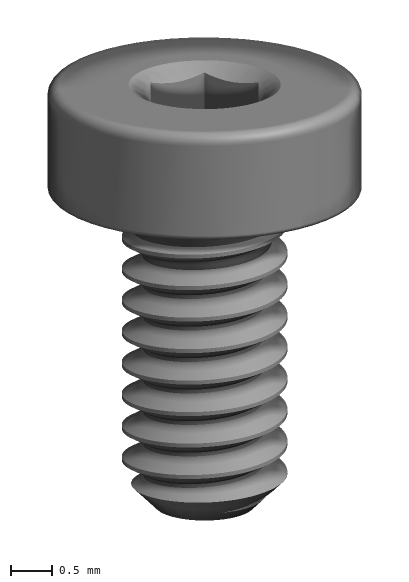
import cadquery as cq
import math

total_length = 5.35
head_radius = 1.9
head_height = 1.35
head_top_fillet = 0.14
head_bottom_fillet = 0.06

socket_across_flats = 1.3
socket_depth = 0.67
countersink_radius = 0.92
countersink_half_angle = 60.0

neck_radius = 1.05
neck_length = 0.855
tip_radius = 0.605

thread_radius = 1.0
thread_pitch = 0.4
thread_depth = 0.26
crest_width = thread_pitch / 8
flank_angle = 30.0
crest_height = 3.535
run_into_head = 0.215

shank_length = total_length - head_height
root_radius = thread_radius - thread_depth


def make_head():
    head = cq.Workplane("XY").workplane(offset=shank_length).circle(head_radius).extrude(head_height)
    head = head.faces(">Z").edges().fillet(head_top_fillet)
    return head.faces("<Z").edges().fillet(head_bottom_fillet)


def revolve_outline(points):
    """Revolve a closed outline of (radius, height) points about the Z axis."""
    return cq.Workplane("XZ").polyline(points).close().revolve(360, (0, 0, 0), (0, 1, 0))


def make_neck():
    """Cone flaring from the thread root to the underside of the head."""
    neck_start = shank_length - neck_length
    outline = [(0, neck_start), (root_radius, neck_start), (neck_radius, shank_length), (0, shank_length)]
    return revolve_outline(outline)


def helix_edge(radius, height):
    """One turn of the thread helix, starting on the +X side at the given height."""
    return cq.Wire.makeHelix(thread_pitch, thread_pitch, radius).translate(cq.Vector(0, 0, height)).Edges()[0]


def make_threaded_rod(start_height, turns):
    """Solid rod with helicoidal ends whose crests are centred on start_height plus whole pitches."""
    crest_half = crest_width / 2
    base_half = crest_half + thread_depth * math.tan(math.radians(flank_angle))
    profile = [
        (root_radius, -base_half),
        (thread_radius, -crest_half),
        (thread_radius, crest_half),
        (root_radius, base_half),
    ]

    faces = []
    for turn in range(turns):
        turn_height = start_height + turn * thread_pitch
        corners = [(radius, turn_height + offset) for radius, offset in profile]
        next_root = (root_radius, turn_height + thread_pitch - base_half)
        for lower, upper in zip(corners, corners[1:] + [next_root]):
            faces.append(cq.Face.makeRuledSurface(helix_edge(*lower), helix_edge(*upper)))

    bottom = start_height - base_half
    top = bottom + turns * thread_pitch
    for height in (bottom, top):
        axis = cq.Edge.makeLine(cq.Vector(0, 0, height), cq.Vector(0, 0, height + thread_pitch))
        faces.append(cq.Face.makeRuledSurface(axis, helix_edge(root_radius, height)))

    first_turn = [(radius, start_height + offset) for radius, offset in profile]
    first_turn.append((root_radius, bottom + thread_pitch))
    last_turn = [(radius, height + turns * thread_pitch) for radius, height in first_turn]
    for step in (first_turn, last_turn):
        step_outline = [(0, step[0][1])] + step + [(0, step[-1][1])]
        corners = [cq.Vector(radius, 0, height) for radius, height in step_outline]
        faces.append(cq.Face.makeFromWires(cq.Wire.makePolygon(corners, close=True)))
    return cq.Workplane(cq.Solid.makeSolid(cq.Shell.makeShell(faces)))


def make_shank():
    """Threaded rod with a 45 degree tip, reaching a little way into the head."""
    turns_below = math.ceil(crest_height / thread_pitch) + 1
    start_height = crest_height - turns_below * thread_pitch
    top_height = shank_length + run_into_head
    turns = math.ceil((top_height - start_height) / thread_pitch) + 1
    envelope_radius = neck_radius
    envelope = revolve_outline([
        (0, 0),
        (tip_radius, 0),
        (envelope_radius, envelope_radius - tip_radius),
        (envelope_radius, top_height),
        (0, top_height),
    ])
    return make_threaded_rod(start_height, turns).intersect(envelope)


def make_socket():
    across_corners = socket_across_flats / math.cos(math.radians(30))
    hexagon = (
        cq.Workplane("XY")
        .workplane(offset=total_length - socket_depth)
        .transformed(rotate=(0, 0, 30))
        .polygon(6, across_corners)
        .extrude(socket_depth)
    )
    cone_depth = countersink_radius / math.tan(math.radians(countersink_half_angle))
    countersink = revolve_outline([
        (0, total_length),
        (countersink_radius, total_length),
        (0, total_length - cone_depth),
    ])
    return hexagon.union(countersink)


result = make_shank().union(make_neck()).union(make_head()).cut(make_socket())